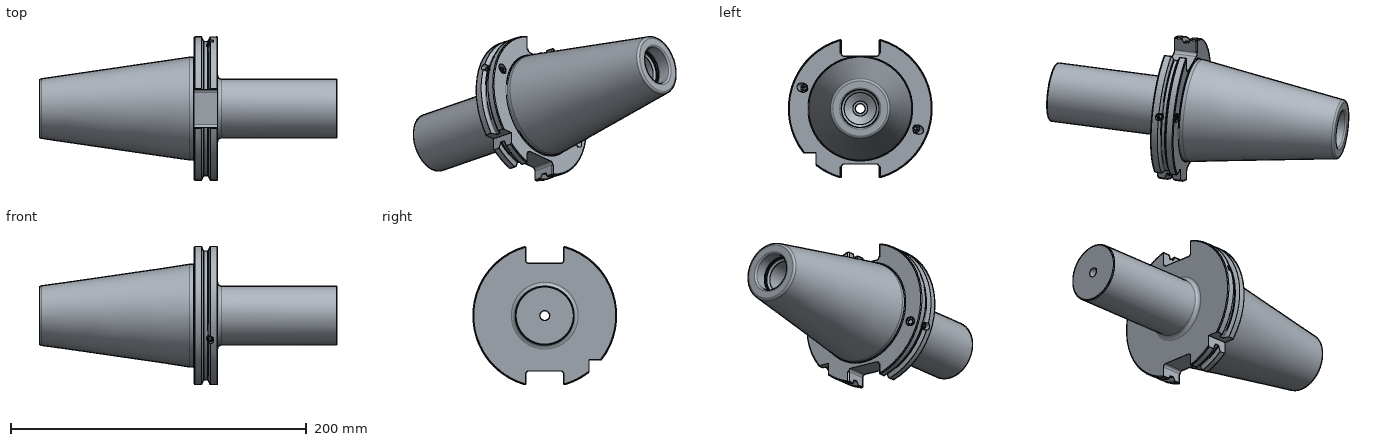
import cadquery as cq
import math

TOTAL_LENGTH = 201.5
GAUGE_X = 101.8
GAUGE_RADIUS = 34.9
TAPER_SLOPE = 7 / 48
TAPER_NOSE_FILLET = 1.6
COLLAR_FILLET = 0.6
COLLAR_LENGTH = 3.0

FLANGE_START_X = GAUGE_X + COLLAR_LENGTH
FLANGE_WIDTH = 16.0
FLANGE_END_X = FLANGE_START_X + FLANGE_WIDTH
FLANGE_DIAMETER = 97.4
FLANGE_RADIUS = FLANGE_DIAMETER / 2
FLANGE_CHAMFER = 0.6

GROOVE_CENTER_X = 112.7
GROOVE_FLOOR_RADIUS = 45.5
GROOVE_FLOOR_WIDTH = 3.0
GROOVE_FLOOR_FILLET = 0.6
GROOVE_RIM_WIDTH = 6.0

SHANK_RADIUS = 20.0
SHANK_FILLET = 2.6
SHANK_END_CHAMFER = 0.6

BORE_RADIUS = 12.7
BORE_MOUTH_FILLET = 1.2
THREAD_RADIUS = 10.9
STEP_RADIUS = 5.0
CHANNEL_RADIUS = 3.2
BORE_DEPTH = 12.3
RELIEF_DEPTH = 0.5
RELIEF_WIDTH = 1.5
RELIEF_START_X = 10.0
SEAT_ANGLE = 60
THREAD_DEPTH = 40.3
DRILL_POINT_ANGLE = 60

SLOT_WIDTH = 25.6
TOP_SLOT_FLOOR = 35.5
BOTTOM_SLOT_FLOOR = 37.5
SLOT_FILLET = 2.0
SLOT_EDGE_CHAMFER = 0.8
NOTCH_OFFSET = 30.0

SCREW_TURN = 20
FACE_HOLE_RADIAL = 41.7
FACE_HOLE_TILT = 34
FACE_SCREW_RADIUS = 3.0
FACE_SCREW_RECESS = 2.6
FACE_SCREW_LENGTH = 5.0
FACE_SOCKET_WIDTH = 3.0
SIDE_HOLE_X = 115.5
SIDE_SCREW_RADIUS = 2.5
SIDE_SCREW_RECESS = 3.2
SIDE_SCREW_LENGTH = 5.0
SIDE_SOCKET_WIDTH = 2.5
SOCKET_DEPTH = 2.0
SCREW_CHAMFER = 0.5

OVERCUT = 10.0


def revolve_about_x(outline):
    """Turn a closed outline of (x, radius) about the X axis."""
    return outline.close().revolve(360, (0, 0, 0), (1, 0, 0))


def make_taper():
    nose_radius = GAUGE_RADIUS - GAUGE_X * TAPER_SLOPE
    outline = (
        cq.Workplane("XY")
        .lineTo(0, nose_radius)
        .lineTo(GAUGE_X, GAUGE_RADIUS)
        .lineTo(FLANGE_START_X - COLLAR_FILLET, GAUGE_RADIUS)
        .radiusArc((FLANGE_START_X, GAUGE_RADIUS + COLLAR_FILLET), -COLLAR_FILLET)
        .lineTo(FLANGE_START_X, 0)
    )
    return revolve_about_x(outline).faces("<X").edges().fillet(TAPER_NOSE_FILLET)


def make_flange():
    flange = (
        cq.Workplane("YZ", origin=(FLANGE_START_X, 0, 0))
        .circle(FLANGE_RADIUS)
        .extrude(FLANGE_WIDTH)
        .edges()
        .chamfer(FLANGE_CHAMFER)
    )
    for floor, side in ((TOP_SLOT_FLOOR, 1), (BOTTOM_SLOT_FLOOR, -1)):
        flange = flange.cut(slot_cutter(floor, side))
    flange = flange.edges(slot_rim_edges()).chamfer(SLOT_EDGE_CHAMFER)
    for floor, side in ((TOP_SLOT_FLOOR, 1), (BOTTOM_SLOT_FLOOR, -1)):
        flange = flange.cut(slot_flare_cutter(floor, side))
    return flange.cut(groove_cutter()).cut(notch_cutter())


def groove_cutter():
    half_floor = GROOVE_FLOOR_WIDTH / 2
    half_rim = GROOVE_RIM_WIDTH / 2
    outline = (
        cq.Workplane("XY")
        .moveTo(GROOVE_CENTER_X - half_floor, GROOVE_FLOOR_RADIUS)
        .lineTo(GROOVE_CENTER_X + half_floor, GROOVE_FLOOR_RADIUS)
        .lineTo(GROOVE_CENTER_X + half_rim, FLANGE_RADIUS)
        .lineTo(GROOVE_CENTER_X + half_rim, FLANGE_RADIUS + OVERCUT)
        .lineTo(GROOVE_CENTER_X - half_rim, FLANGE_RADIUS + OVERCUT)
        .lineTo(GROOVE_CENTER_X - half_rim, FLANGE_RADIUS)
    )
    floor_edges = cq.selectors.RadiusNthSelector(0)
    return revolve_about_x(outline).edges(floor_edges).fillet(GROOVE_FLOOR_FILLET)


def slot_cutter(floor, side):
    height = FLANGE_RADIUS + OVERCUT - floor
    return (
        cq.Workplane("YZ", origin=(FLANGE_START_X, 0, side * (floor + height / 2)))
        .rect(SLOT_WIDTH, height)
        .extrude(FLANGE_WIDTH)
        .edges("|X")
        .edges("<Z" if side > 0 else ">Z")
        .fillet(SLOT_FILLET)
    )


def slot_rim_edges():
    """Selects the four long edges where the slot walls meet the flange rim."""
    rim_height = math.sqrt(FLANGE_RADIUS**2 - (SLOT_WIDTH / 2) ** 2)
    middle_x = FLANGE_START_X + FLANGE_WIDTH / 2
    selector = None
    for y in (-SLOT_WIDTH / 2, SLOT_WIDTH / 2):
        for z in (-rim_height, rim_height):
            nearest = cq.selectors.NearestToPointSelector((middle_x, y, z))
            selector = nearest if selector is None else selector + nearest
    return selector


def slot_flare_cutter(floor, side):
    """Bevels the slot walls where they meet the flange face on the taper side."""
    half_slot = SLOT_WIDTH / 2
    half_flare = half_slot + SLOT_EDGE_CHAMFER
    bevel_end_x = FLANGE_START_X + SLOT_EDGE_CHAMFER
    return (
        cq.Workplane("XY", origin=(0, 0, side * (floor + SLOT_FILLET)))
        .moveTo(FLANGE_START_X, -half_flare)
        .lineTo(bevel_end_x, -half_slot)
        .lineTo(bevel_end_x, half_slot)
        .lineTo(FLANGE_START_X, half_flare)
        .close()
        .extrude(side * FLANGE_RADIUS)
    )


def notch_cutter():
    size = FLANGE_RADIUS
    center = NOTCH_OFFSET + size / 2
    return (
        cq.Workplane("YZ", origin=(FLANGE_START_X, center, -center))
        .rect(size, size)
        .extrude(FLANGE_WIDTH)
    )


def make_shank():
    fillet_start = SHANK_RADIUS + SHANK_FILLET
    outline = (
        cq.Workplane("XY")
        .moveTo(FLANGE_START_X, 0)
        .lineTo(FLANGE_START_X, fillet_start)
        .lineTo(FLANGE_END_X, fillet_start)
        .radiusArc((FLANGE_END_X + SHANK_FILLET, SHANK_RADIUS), -SHANK_FILLET)
        .lineTo(TOTAL_LENGTH, SHANK_RADIUS)
        .lineTo(TOTAL_LENGTH, 0)
    )
    return revolve_about_x(outline).faces(">X").edges().chamfer(SHANK_END_CHAMFER)


def bore_cutter():
    relief_radius = BORE_RADIUS + RELIEF_DEPTH
    relief_end_x = RELIEF_START_X + RELIEF_WIDTH
    seat_depth = (BORE_RADIUS - THREAD_RADIUS) / math.tan(math.radians(SEAT_ANGLE))
    point_depth = (THREAD_RADIUS - STEP_RADIUS) / math.tan(math.radians(DRILL_POINT_ANGLE))
    outline = (
        cq.Workplane("XY")
        .lineTo(0, BORE_RADIUS + BORE_MOUTH_FILLET)
        .radiusArc((BORE_MOUTH_FILLET, BORE_RADIUS), -BORE_MOUTH_FILLET)
        .lineTo(RELIEF_START_X, BORE_RADIUS)
        .lineTo(RELIEF_START_X, relief_radius)
        .lineTo(relief_end_x, relief_radius)
        .lineTo(relief_end_x, BORE_RADIUS)
        .lineTo(BORE_DEPTH, BORE_RADIUS)
        .lineTo(BORE_DEPTH + seat_depth, THREAD_RADIUS)
        .lineTo(THREAD_DEPTH, THREAD_RADIUS)
        .lineTo(THREAD_DEPTH + point_depth, STEP_RADIUS)
        .lineTo(THREAD_DEPTH + point_depth, CHANNEL_RADIUS)
        .lineTo(TOTAL_LENGTH, CHANNEL_RADIUS)
        .lineTo(TOTAL_LENGTH, 0)
    )
    return revolve_about_x(outline)


def face_screw_plane():
    """Plane on the flange face, its normal running out of the tilted hole."""
    tilt = math.radians(FACE_HOLE_TILT)
    return cq.Plane(
        origin=(FLANGE_START_X, -FACE_HOLE_RADIAL, 0),
        xDir=(0, 0, 1),
        normal=(-math.cos(tilt), -math.sin(tilt), 0),
    )


def side_screw_plane():
    """Plane touching the flange rim, its normal pointing radially outwards."""
    return cq.Plane(origin=(SIDE_HOLE_X, -FLANGE_RADIUS, 0), xDir=(0, 0, 1), normal=(0, -1, 0))


def both_sides(body):
    """Two copies of a body in the -Y half plane, opposite each other in the screw plane."""
    return [body.rotate((0, 0, 0), (1, 0, 0), SCREW_TURN + half_turn) for half_turn in (0, 180)]


def make_hole(plane, radius, depth):
    return cq.Workplane(plane).workplane(offset=-depth).circle(radius).extrude(depth + OVERCUT)


def make_screw(plane, radius, recess, length, socket_width):
    body = cq.Workplane(plane).workplane(offset=-recess).circle(radius).extrude(-length)
    body = body.edges().chamfer(SCREW_CHAMFER)
    socket = (
        cq.Workplane(plane)
        .workplane(offset=-recess)
        .polygon(6, socket_width, circumscribed=True)
        .extrude(-SOCKET_DEPTH)
    )
    return body.cut(socket)


face_holes = both_sides(
    make_hole(face_screw_plane(), FACE_SCREW_RADIUS, FACE_SCREW_RECESS + FACE_SCREW_LENGTH)
)
side_holes = both_sides(
    make_hole(side_screw_plane(), SIDE_SCREW_RADIUS, SIDE_SCREW_RECESS + SIDE_SCREW_LENGTH)
)
face_screws = both_sides(
    make_screw(
        face_screw_plane(), FACE_SCREW_RADIUS, FACE_SCREW_RECESS, FACE_SCREW_LENGTH, FACE_SOCKET_WIDTH
    )
)
side_screws = both_sides(
    make_screw(
        side_screw_plane(), SIDE_SCREW_RADIUS, SIDE_SCREW_RECESS, SIDE_SCREW_LENGTH, SIDE_SOCKET_WIDTH
    )
)

holder = make_taper().union(make_flange()).union(make_shank()).cut(bore_cutter())
for hole in face_holes + side_holes:
    holder = holder.cut(hole)

result = cq.Compound.makeCompound(
    [holder.val()] + [screw.val() for screw in face_screws + side_screws]
)